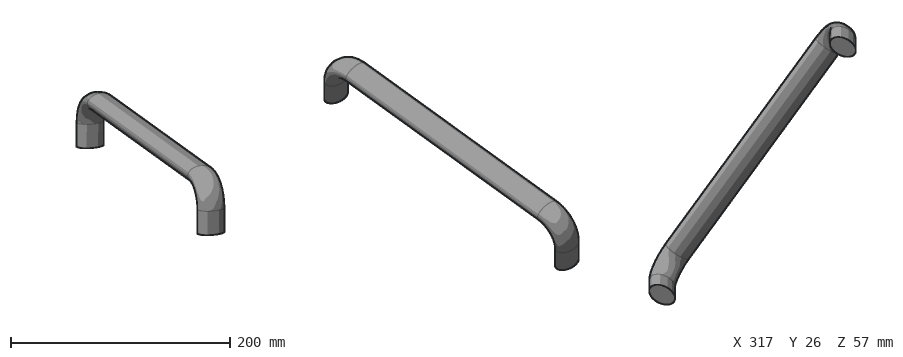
import cadquery as cq

length = 317.0
height = 57.0

bar_width = 26.0
bar_thickness = 17.0

bend_radius = 25.5

half_span = (length - bar_thickness) / 2
grip_z = height - bar_thickness / 2
bend_start_z = grip_z - bend_radius
half_grip = half_span - bend_radius

centreline = (
    cq.Workplane("XZ")
    .moveTo(-half_span, 0)
    .lineTo(-half_span, bend_start_z)
    .tangentArcPoint((-half_grip, grip_z), relative=False)
    .lineTo(half_grip, grip_z)
    .tangentArcPoint((half_span, bend_start_z), relative=False)
    .lineTo(half_span, 0)
)

section = (
    cq.Workplane("XY")
    .center(-half_span, 0)
    .ellipse(bar_thickness / 2, bar_width / 2)
)

result = section.sweep(centreline)